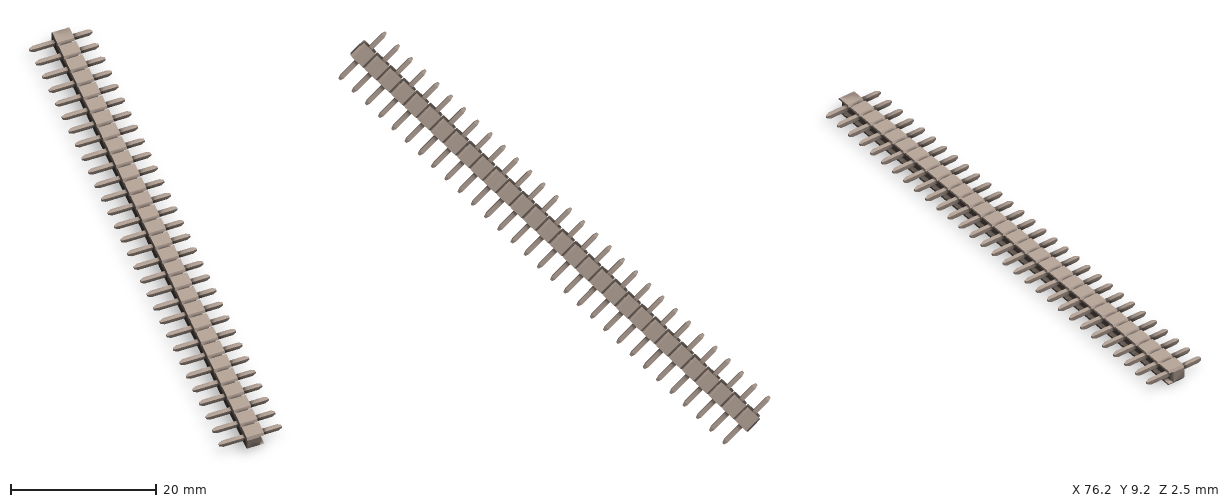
import cadquery as cq

pin_count = 30
pitch = 2.54

body_length = pin_count * pitch
body_depth = 2.54
body_height = 2.5
block_chamfer_x = 0.3
block_chamfer_z = 0.4

groove_depth = 0.7
groove_height = 1.85

pin_offset_x = -0.1
pin_width = 0.64
pin_tip_width = 0.32
pin_tip_length = 0.55
front_pin_reach = 3.66
back_pin_reach = 3.0

pin_length = front_pin_reach + body_depth + back_pin_reach

pin_front_y = -pin_length / 2
body_front_y = pin_front_y + front_pin_reach
body_back_y = body_front_y + body_depth


def block_x(index):
    """X of the centre of one block, with the row centred on X = 0."""
    return (index - (pin_count - 1) / 2) * pitch


def make_block(index):
    """Block around one pin: an octagon in XZ, extruded along Y."""
    half_pitch = pitch / 2
    half_height = body_height / 2
    half_flat = half_pitch - block_chamfer_x
    half_side = half_height - block_chamfer_z
    outline = [
        (half_flat, half_height),
        (half_pitch, half_side),
        (half_pitch, -half_side),
        (half_flat, -half_height),
        (-half_flat, -half_height),
        (-half_pitch, -half_side),
        (-half_pitch, half_side),
        (-half_flat, half_height),
    ]
    block = cq.Workplane("XZ").polyline(outline).close().extrude(-body_depth)
    return block.translate((block_x(index), body_front_y, 0))


def make_body():
    """Row of touching blocks with one groove cut along the whole back face."""
    body = make_block(0)
    for index in range(1, pin_count):
        body = body.union(make_block(index))
    groove = (
        cq.Workplane("XY")
        .box(body_length, groove_depth, groove_height, centered=(True, False, True))
        .translate((0, body_back_y - groove_depth, 0))
    )
    return body.cut(groove)


def make_tip(shank_end_y, tip_y):
    """Four-sided taper from the full pin section down to the tip."""
    return (
        cq.Workplane("XZ", origin=(0, shank_end_y, 0))
        .rect(pin_width, pin_width)
        .workplane(offset=shank_end_y - tip_y)
        .rect(pin_tip_width, pin_tip_width)
        .loft(ruled=True)
    )


def make_pin():
    """Straight square pin along Y with a tapered tip at each end."""
    shank_end = pin_length / 2 - pin_tip_length
    shank = cq.Workplane("XY").box(pin_width, 2 * shank_end, pin_width)
    front_tip = make_tip(-shank_end, -pin_length / 2)
    back_tip = make_tip(shank_end, pin_length / 2)
    return shank.union(front_tip).union(back_tip)


result = make_body()
pin = make_pin()
for pin_index in range(pin_count):
    result = result.union(pin.translate((block_x(pin_index) + pin_offset_x, 0, 0)))